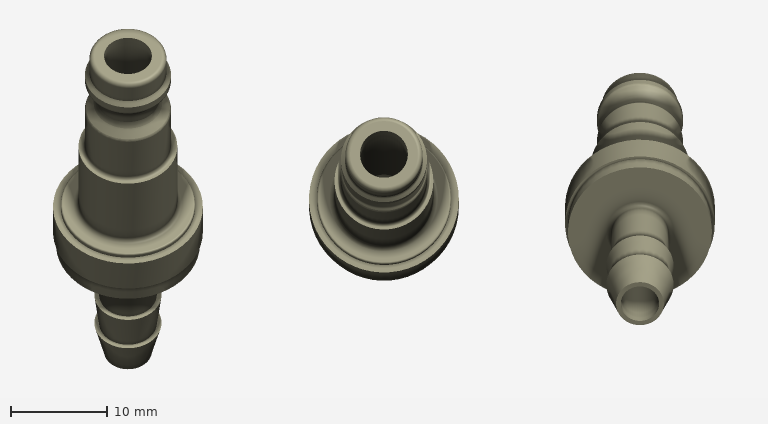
import cadquery as cq

bore_d = 4.0
socket_d = 5.0
tip_d = 5.0
barb_d = 7.0
stem_d = 6.0
flange_step_d = 15.0
flange_d = 15.6
rim_d = 14.0
body_d = 10.3
shank_d = 9.0
neck_d = 6.6
nose_d = 8.05

total_height = 47.0
barb_length = 4.5
flange_bottom_z = 17.0
flange_step_z = 19.0
flange_top_z = 23.0
rim_top_z = 23.5
body_top_z = 32.6
shank_top_z = 38.7
lip_bottom_z = 43.0
lip_top_z = 44.0
socket_cone_top_z = rim_top_z

root_fillet = 0.5
rim_round = 0.2
step_fillet = 0.4
groove_edge_round = 0.4
groove_fillet = 1.0
nose_round = 0.5

groove_depth = (shank_d - neck_d) / 2
neck_bottom_z = shank_top_z + groove_depth
neck_top_z = lip_bottom_z - groove_depth
nose_bottom_z = lip_top_z + (shank_d - nose_d) / 2
socket_cone_bottom_z = socket_cone_top_z - (socket_d - bore_d) / 2


def revolve_profile(diameter_heights):
    """Turn a list of (diameter, height) corners about Z, closed along the axis."""
    corners = [(diameter / 2, z) for diameter, z in diameter_heights]
    closed = [(0, corners[0][1])] + corners + [(0, corners[-1][1])]
    return cq.Workplane("XZ").polyline(closed).close().revolve(360, (0, 0), (0, 1))


def round_edge(body, diameter, z, radius):
    """Round the circular edge with the given diameter and height."""
    tolerance = 0.005
    half = diameter / 2 + tolerance
    around_edge = cq.selectors.BoxSelector(
        (-half, -half, z - tolerance), (half, half, z + tolerance), boundingbox=True
    )
    inner = diameter / 2 - tolerance
    inside_edge = cq.selectors.BoxSelector(
        (-inner, -inner, z - tolerance), (inner, inner, z + tolerance), boundingbox=True
    )
    return body.edges(around_edge - inside_edge).fillet(radius)


outer = revolve_profile([
    (tip_d, 0),
    (barb_d, barb_length),
    (stem_d, barb_length),
    (barb_d, 2 * barb_length),
    (stem_d, 2 * barb_length),
    (stem_d, flange_bottom_z),
    (flange_step_d, flange_bottom_z),
    (flange_step_d, flange_step_z),
    (flange_d, flange_step_z),
    (flange_d, flange_top_z),
    (rim_d, flange_top_z),
    (rim_d, rim_top_z),
    (body_d, rim_top_z),
    (body_d, body_top_z),
    (shank_d, body_top_z),
    (shank_d, shank_top_z),
    (neck_d, neck_bottom_z),
    (neck_d, neck_top_z),
    (shank_d, lip_bottom_z),
    (shank_d, lip_top_z),
    (nose_d, nose_bottom_z),
    (nose_d, total_height),
])

rounded_edges = [
    (stem_d, flange_bottom_z, root_fillet),
    (rim_d, rim_top_z, rim_round),
    (body_d, rim_top_z, root_fillet),
    (shank_d, body_top_z, step_fillet),
    (shank_d, shank_top_z, groove_edge_round),
    (neck_d, neck_bottom_z, groove_fillet),
    (neck_d, neck_top_z, groove_fillet),
    (shank_d, lip_bottom_z, groove_edge_round),
    (nose_d, total_height, nose_round),
]
for edge_d, edge_z, edge_radius in rounded_edges:
    outer = round_edge(outer, edge_d, edge_z, edge_radius)

passage = revolve_profile([
    (bore_d, 0),
    (bore_d, socket_cone_bottom_z),
    (socket_d, socket_cone_top_z),
    (socket_d, total_height),
])

result = outer.cut(passage)